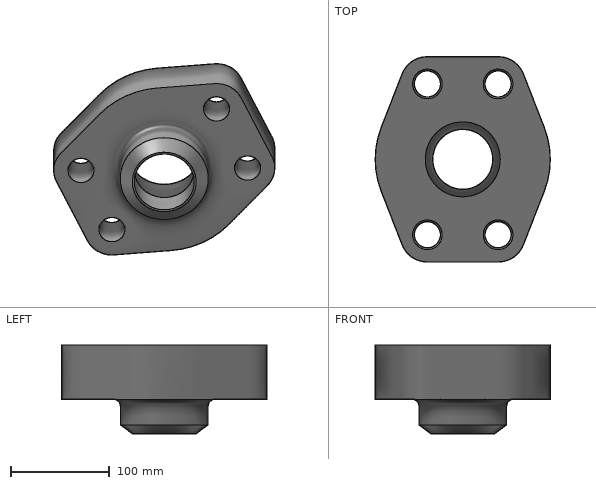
import cadquery as cq
import math

plate_length = 208.0
plate_width = 177.5
plate_thickness = 55.1
side_radius = plate_width / 2

bolt_x = 35.8
bolt_y = 76.3
bolt_diameter = 26.2
bolt_countersink_diameter = 30.0
countersink_angle = 90
corner_radius = plate_length / 2 - bolt_y

total_height = 90.0
neck_radius = 89.0 / 2
neck_fillet = 6.9
neck_tip_radius = 64.7 / 2
neck_bevel_height = 9.2

bore_diameter = 60.5
top_bore_diameter = 76.0
top_bore_depth = 56.2
cut_margin = 2.0


def make_plate():
    """Corner arcs and side arcs joined by their common tangent lines."""
    centre_distance = math.hypot(bolt_x, bolt_y)
    centre_angle = math.atan2(bolt_y, bolt_x)
    tangent_angle = centre_angle - math.acos((side_radius - corner_radius) / centre_distance)
    corner_mid_angle = (tangent_angle + math.pi / 2) / 2

    def on_corner(angle):
        return (bolt_x + corner_radius * math.cos(angle), bolt_y + corner_radius * math.sin(angle))

    side_x = side_radius * math.cos(tangent_angle)
    side_y = side_radius * math.sin(tangent_angle)
    end_x, end_y = on_corner(tangent_angle)
    mid_x, mid_y = on_corner(corner_mid_angle)
    half_length = plate_length / 2
    outline = (
        cq.Workplane("XY")
        .moveTo(side_x, -side_y)
        .threePointArc((side_radius, 0), (side_x, side_y))
        .lineTo(end_x, end_y)
        .threePointArc((mid_x, mid_y), (bolt_x, half_length))
        .lineTo(-bolt_x, half_length)
        .threePointArc((-mid_x, mid_y), (-end_x, end_y))
        .lineTo(-side_x, side_y)
        .threePointArc((-side_radius, 0), (-side_x, -side_y))
        .lineTo(-end_x, -end_y)
        .threePointArc((-mid_x, -mid_y), (-bolt_x, -half_length))
        .lineTo(bolt_x, -half_length)
        .threePointArc((mid_x, -mid_y), (end_x, -end_y))
        .close()
    )
    return outline.extrude(-plate_thickness)


def make_neck():
    """Revolved neck with a concave root fillet and a bevelled tip."""
    fillet_centre_r = neck_radius + neck_fillet
    fillet_centre_z = -plate_thickness - neck_fillet
    fillet_mid = neck_fillet * math.sqrt(0.5)
    return (
        cq.Workplane("XZ")
        .moveTo(0, -total_height)
        .lineTo(neck_tip_radius, -total_height)
        .lineTo(neck_radius, -total_height + neck_bevel_height)
        .lineTo(neck_radius, fillet_centre_z)
        .threePointArc(
            (fillet_centre_r - fillet_mid, fillet_centre_z + fillet_mid),
            (fillet_centre_r, -plate_thickness),
        )
        .lineTo(fillet_centre_r, -plate_thickness / 2)
        .lineTo(0, -plate_thickness / 2)
        .close()
        .revolve(360, (0, 0), (0, 1))
    )


def make_bore():
    """Through bore with a wider bore reaching just below the plate."""
    bore = cq.Workplane("XY").circle(bore_diameter / 2).extrude(-total_height - cut_margin)
    top_bore = cq.Workplane("XY").circle(top_bore_diameter / 2).extrude(-top_bore_depth)
    return bore.union(top_bore)


body = make_plate().union(make_neck()).cut(make_bore())
result = (
    body.faces(">Z")
    .workplane(origin=(0, 0, 0))
    .rect(2 * bolt_x, 2 * bolt_y, forConstruction=True)
    .vertices()
    .cskHole(bolt_diameter, bolt_countersink_diameter, countersink_angle)
)